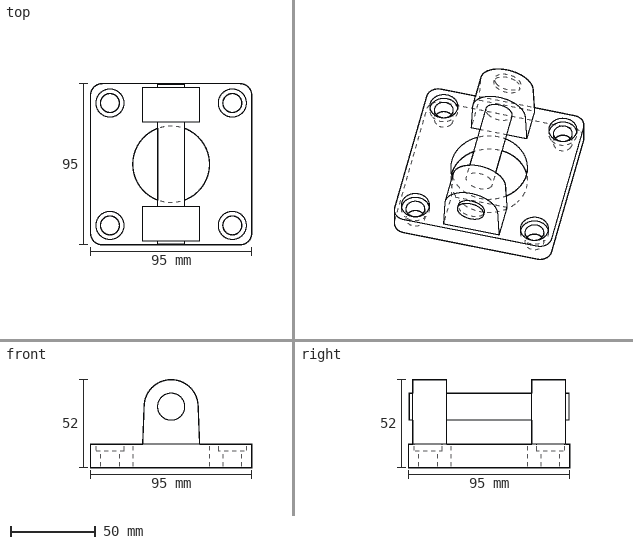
import cadquery as cq
import math

plate_side = 95.0
plate_thickness = 14.0
corner_radius = 7.0
bore_diameter = 45.0

bolt_pitch = 72.0
bolt_diameter = 11.0
counterbore_diameter = 16.5
counterbore_depth = 4.0

total_height = 52.0
lug_top_radius = 16.0
lug_base_width = 33.6
lug_thickness = 20.0
lug_gap = 50.0

pin_diameter = 16.0
pin_length = 94.05
pin_height = total_height - lug_top_radius


def make_plate():
    plate = (
        cq.Workplane("XY")
        .rect(plate_side, plate_side)
        .extrude(plate_thickness)
        .edges("|Z")
        .fillet(corner_radius)
    )
    plate = plate.faces(">Z").workplane().hole(bore_diameter)
    return (
        plate.faces(">Z")
        .workplane()
        .rect(bolt_pitch, bolt_pitch, forConstruction=True)
        .vertices()
        .cboreHole(bolt_diameter, counterbore_diameter, counterbore_depth)
    )


def make_lug(front_y):
    """Rounded lug with tapered flanks tangent to its top arc, from front_y towards +Y."""
    half_base = lug_base_width / 2
    rise = pin_height - plate_thickness
    tangent_angle = math.acos(lug_top_radius / math.hypot(half_base, rise)) - math.atan2(rise, half_base)
    tangent_x = lug_top_radius * math.cos(tangent_angle)
    tangent_z = pin_height + lug_top_radius * math.sin(tangent_angle)
    return (
        cq.Workplane("XZ", origin=(0, front_y, 0))
        .moveTo(-half_base, plate_thickness)
        .lineTo(half_base, plate_thickness)
        .lineTo(tangent_x, tangent_z)
        .threePointArc((0, total_height), (-tangent_x, tangent_z))
        .close()
        .extrude(-lug_thickness)
    )


def make_pin():
    return (
        cq.Workplane("XZ", origin=(0, 0, pin_height))
        .circle(pin_diameter / 2)
        .extrude(pin_length / 2, both=True)
    )


result = make_plate()
for lug_front in (-lug_gap / 2 - lug_thickness, lug_gap / 2):
    result = result.union(make_lug(lug_front))
result = result.union(make_pin())